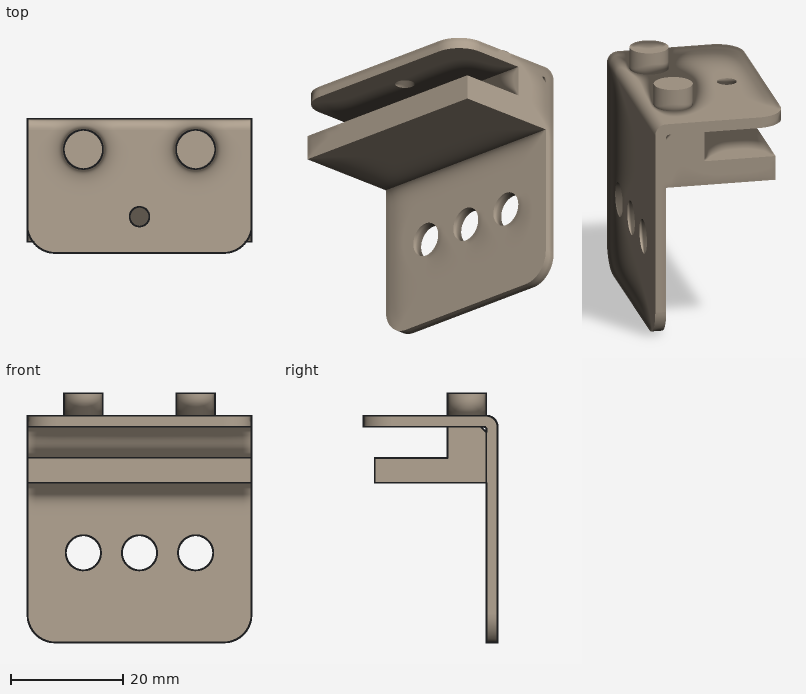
import cadquery as cq


width = 40.0
depth = 24.0
total_height = 44.5
peg_rise = 4.0
shelf_top = total_height - peg_rise
sheet = 2.0
bend_outer_radius = sheet
bend_inner_radius = 0.5
corner_radius = 5.0

wall_hole_diameter = 6.25
wall_hole_pitch = 10.0
wall_hole_count = 3
wall_hole_height = 16.0
shelf_hole_diameter = 3.5
shelf_hole_setback = 17.5

web_thickness = 7.0
web_height = 5.5
foot_length = 20.0
foot_thickness = 4.5
block_chamfer = 1.0

peg_diameter = web_thickness
peg_spacing = 2 * wall_hole_pitch

wall_inner_y = -sheet
shelf_underside = shelf_top - sheet
peg_y = wall_inner_y - web_thickness / 2
peg_centers = [(side * peg_spacing / 2, peg_y) for side in (-1, 1)]


def extrude_across_width(profile):
    """Extrude a closed YZ profile over the full width, centred on X = 0."""
    return profile.extrude(width / 2, both=True)


def make_pegs():
    """Two round pegs from the underside of the shelf to the top of the part."""
    return (
        cq.Workplane("XY", origin=(0, 0, shelf_underside))
        .pushPoints(peg_centers)
        .circle(peg_diameter / 2)
        .extrude(sheet + peg_rise)
    )


def make_bent_sheet():
    """L-shaped sheet with a rounded bend and rounded free corners."""
    profile = (
        cq.Workplane("YZ")
        .moveTo(0, 0)
        .lineTo(0, shelf_top)
        .lineTo(-depth, shelf_top)
        .lineTo(-depth, shelf_underside)
        .lineTo(wall_inner_y, shelf_underside)
        .lineTo(wall_inner_y, 0)
        .close()
    )
    bent = extrude_across_width(profile)
    bent = bent.edges("|X and >Y and >Z").fillet(bend_outer_radius)
    inside_corner = cq.selectors.NearestToPointSelector((0, wall_inner_y, shelf_underside))
    bent = bent.edges(inside_corner).fillet(bend_inner_radius)
    bent = bent.faces("<Z").edges("|Y").fillet(corner_radius)
    return bent.faces("<Y").edges("|Z").fillet(corner_radius)


def make_wall_holes():
    """Cutters for the row of holes through the wall."""
    return (
        cq.Workplane("XZ", origin=(0, 0, wall_hole_height))
        .rarray(wall_hole_pitch, 0.45, wall_hole_count, 1)
        .circle(wall_hole_diameter / 2)
        .extrude(sheet)
    )


def make_shelf_hole():
    """Cutter for the single small hole through the shelf."""
    return (
        cq.Workplane("XY", origin=(0, -shelf_hole_setback, shelf_underside))
        .circle(shelf_hole_diameter / 2)
        .extrude(sheet)
    )


def make_bracket():
    """Bent sheet with its wall holes, shelf hole and close-fitting peg holes."""
    return make_bent_sheet().cut(make_wall_holes()).cut(make_shelf_hole()).cut(make_pegs())


def make_pegged_block():
    """Stepped block seated in the bracket's inside corner, with its two pegs."""
    web_front = wall_inner_y - web_thickness
    foot_front = wall_inner_y - foot_length
    foot_top = shelf_underside - web_height
    foot_bottom = foot_top - foot_thickness
    profile = (
        cq.Workplane("YZ")
        .moveTo(wall_inner_y, foot_bottom)
        .lineTo(wall_inner_y, shelf_underside - block_chamfer)
        .lineTo(wall_inner_y - block_chamfer, shelf_underside)
        .lineTo(web_front, shelf_underside)
        .lineTo(web_front, foot_top)
        .lineTo(foot_front, foot_top)
        .lineTo(foot_front, foot_bottom)
        .close()
    )
    return extrude_across_width(profile).union(make_pegs())


bracket = make_bracket().solids()
pegged_block = make_pegged_block().solids()

result = cq.Compound.makeCompound([bracket.val(), pegged_block.val()])